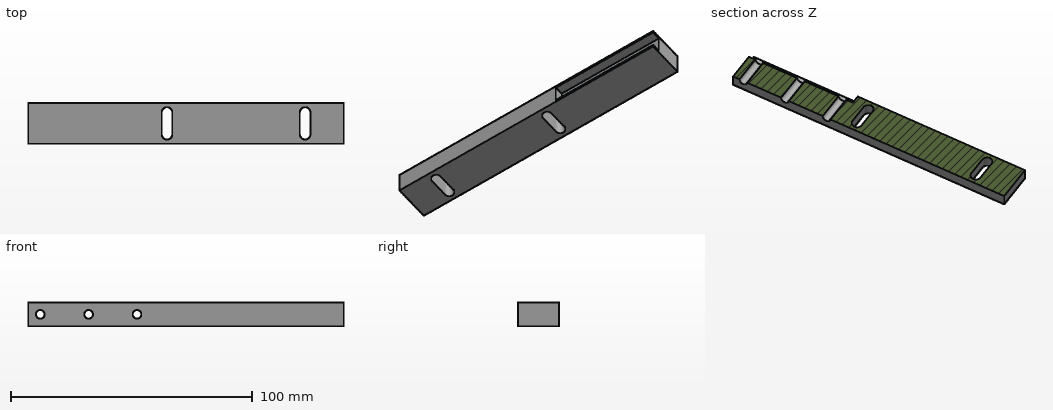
import cadquery as cq

length = 130.5
width = 17.0
height = 10.0

cross_hole_diameter = 3.5
cross_hole_count = 3
cross_hole_pitch = 20.0
first_cross_hole_x = 5.0

slot_width = 4.3
slot_travel = 9.0
slot_length = slot_travel + slot_width
slot_pitch = 57.1
first_slot_x = 57.4
slot_count = 2

groove_depth = 4.0
lip_thickness = 1.0
groove_end_margin = 5.0
last_cross_hole_x = first_cross_hole_x + (cross_hole_count - 1) * cross_hole_pitch
groove_length = last_cross_hole_x + groove_end_margin


def make_bar():
    return cq.Workplane("XY").box(length, width, height, centered=False)


def make_groove():
    groove_height = height - 2 * lip_thickness
    return (
        cq.Workplane("XY")
        .box(groove_length, groove_depth, groove_height, centered=False)
        .translate((0, width - groove_depth, lip_thickness))
    )


def make_cross_holes():
    centres = [
        (first_cross_hole_x + index * cross_hole_pitch, height / 2)
        for index in range(cross_hole_count)
    ]
    return cq.Workplane("XZ").pushPoints(centres).circle(cross_hole_diameter / 2).extrude(-width)


def make_slots():
    centres = [
        (first_slot_x + index * slot_pitch, width / 2)
        for index in range(slot_count)
    ]
    return cq.Workplane("XY").pushPoints(centres).slot2D(slot_length, slot_width, 90).extrude(height)


result = make_bar().cut(make_groove()).cut(make_cross_holes()).cut(make_slots())